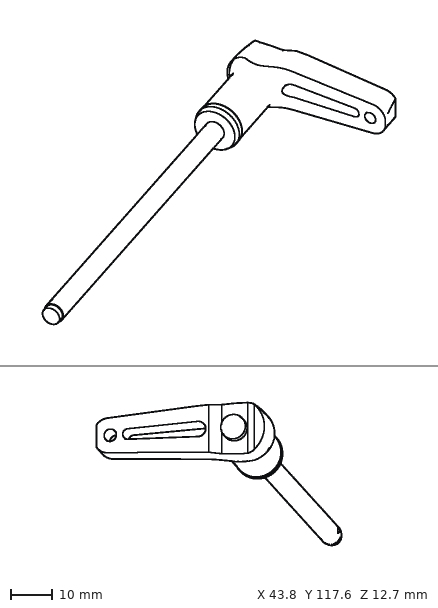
import cadquery as cq
import math


total_length = 117.6
pin_radius = 2.6
tip_radius = 2.4
tip_length = 1.5
ball_radius = 0.7
ball_protrusion = 0.4
ball_from_tip = 5.4

button_radius = 3.0

sleeve_radius = 5.9
sleeve_end_y = -31.6
collar_start_y = -28.7
collar_radius = 6.0
sleeve_chamfer_length = 1.4
sleeve_chamfer_depth = 0.5
flare_radius = 4.0
flare_start_y = -12.3

handle_left = -8.5
handle_right = 35.3
head_top_y = -1.2
head_bottom_y = -8.9
head_top_radius = 7.5
head_rim_inner_x = -5.0
recess_y = -2.0
recess_half_width = 3.2
arm_top_start_x = 6.1
arm_top_y = -0.6
arm_bend_x = 9.4
arm_bottom_y = flare_start_y + flare_radius
tip_top_x = 34.6
tip_top_y = -2.9
tip_bottom_y = -9.6
tip_flat_length = 1.4

handle_thickness = 12.7
half_thickness = handle_thickness / 2
head_arc_end_x = -3.2
taper_blend_start_x = -0.6
taper_blend_end_x = 0.5
taper_blend_drop = 0.04
arm_end_half_width = 4.1
arm_corner_radius = 3.8

slot_left = 6.9
slot_right = 27.9
slot_left_radius = 1.9
slot_right_radius = 1.3
key_hole_x = 31.0
key_hole_radius = 1.5


def extrude_handle_depth(outline):
    """Extrude an outline in XZ from the button face down to the start of the sleeve."""
    return outline.extrude(-flare_start_y)


def revolve_about_pin(profile):
    """Revolve a profile of (radius, Y) about the pin axis."""
    return profile.close().revolve(360, (0, 0, 0), (0, 1, 0))


def make_side_block():
    """Head and arm shape across the full handle thickness."""
    return (
        cq.Workplane("XY")
        .moveTo(handle_left, head_top_y)
        .lineTo(head_rim_inner_x, head_top_y)
        .lineTo(-recess_half_width, recess_y)
        .lineTo(recess_half_width, recess_y)
        .lineTo(arm_top_start_x, arm_top_y)
        .lineTo(arm_bend_x, arm_top_y)
        .lineTo(tip_top_x, tip_top_y)
        .lineTo(handle_right, tip_bottom_y)
        .lineTo(handle_right - tip_flat_length, tip_bottom_y)
        .lineTo(arm_bend_x, arm_bottom_y)
        .lineTo(0, arm_bottom_y)
        .lineTo(handle_left, head_bottom_y)
        .close()
        .extrude(half_thickness, both=True)
    )


def make_flare():
    """Concave blend from the sleeve up to the underside of the handle."""
    flare_middle = flare_radius * (1 - math.sqrt(0.5))
    return revolve_about_pin(
        cq.Workplane("XY")
        .moveTo(0, flare_start_y)
        .lineTo(sleeve_radius, flare_start_y)
        .threePointArc(
            (sleeve_radius + flare_middle, arm_bottom_y - flare_middle),
            (sleeve_radius + flare_radius, arm_bottom_y),
        )
        .lineTo(0, arm_bottom_y)
    )


def make_plan_block():
    """Round head and tapered arm outline, with rounded arm corners."""
    blend_end_z = half_thickness - taper_blend_drop
    blend_middle_x = (taper_blend_start_x + taper_blend_end_x) / 2
    blend_middle_z = half_thickness - taper_blend_drop / 4
    plan = (
        cq.Workplane("XZ")
        .moveTo(head_arc_end_x, half_thickness)
        .lineTo(taper_blend_start_x, half_thickness)
        .threePointArc((blend_middle_x, blend_middle_z), (taper_blend_end_x, blend_end_z))
        .lineTo(handle_right, arm_end_half_width)
        .lineTo(handle_right, -arm_end_half_width)
        .lineTo(taper_blend_end_x, -blend_end_z)
        .threePointArc((blend_middle_x, -blend_middle_z), (taper_blend_start_x, -half_thickness))
        .lineTo(head_arc_end_x, -half_thickness)
        .threePointArc((handle_left, 0), (head_arc_end_x, half_thickness))
        .close()
    )
    return extrude_handle_depth(plan).edges("|Y and >X").fillet(arm_corner_radius)


def make_head_limit():
    """Cone that drafts the head end; a box leaves the arm side unaffected."""
    draft = (-handle_left - head_top_radius) / (head_top_y - head_bottom_y)
    bottom_radius = head_top_radius - draft * (flare_start_y - head_top_y)
    cone = revolve_about_pin(
        cq.Workplane("XY")
        .moveTo(0, 0)
        .lineTo(head_top_radius + draft * head_top_y, 0)
        .lineTo(bottom_radius, flare_start_y)
        .lineTo(0, flare_start_y)
    )
    arm_side = extrude_handle_depth(
        cq.Workplane("XZ").center(handle_right / 2, 0).rect(handle_right, handle_thickness)
    )
    return cone.union(arm_side)


def make_arm_openings():
    """Tapered slot with round ends, and the round hole beyond it."""
    left_center = slot_left + slot_left_radius
    right_center = slot_right - slot_right_radius
    slot = (
        cq.Workplane("XZ")
        .moveTo(left_center, slot_left_radius)
        .lineTo(right_center, slot_right_radius)
        .threePointArc((slot_right, 0), (right_center, -slot_right_radius))
        .lineTo(left_center, -slot_left_radius)
        .threePointArc((slot_left, 0), (left_center, slot_left_radius))
        .close()
    )
    hole = cq.Workplane("XZ").center(key_hole_x, 0).circle(key_hole_radius)
    return extrude_handle_depth(slot).union(extrude_handle_depth(hole))


def make_handle():
    handle = make_side_block().union(make_flare())
    handle = handle.intersect(make_plan_block()).intersect(make_head_limit())
    return handle.cut(make_arm_openings())


def make_shaft():
    """Button, sleeve with end collar, pin and reduced tip as one turned body."""
    sleeve_end_radius = collar_radius - sleeve_chamfer_depth
    tip_start_y = tip_length - total_length
    return revolve_about_pin(
        cq.Workplane("XY")
        .moveTo(0, 0)
        .lineTo(button_radius, 0)
        .lineTo(button_radius, arm_bottom_y)
        .lineTo(sleeve_radius, arm_bottom_y)
        .lineTo(sleeve_radius, collar_start_y)
        .lineTo(collar_radius, collar_start_y)
        .lineTo(collar_radius, sleeve_end_y + sleeve_chamfer_length)
        .lineTo(sleeve_end_radius, sleeve_end_y)
        .lineTo(pin_radius, sleeve_end_y)
        .lineTo(pin_radius, tip_start_y)
        .lineTo(tip_radius, tip_start_y)
        .lineTo(tip_radius, -total_length)
        .lineTo(0, -total_length)
    )


def make_locking_ball():
    ball_x = -(pin_radius + ball_protrusion - ball_radius)
    return cq.Workplane("XY").sphere(ball_radius).translate((ball_x, ball_from_tip - total_length, 0))


result = make_handle().union(make_shaft()).union(make_locking_ball())